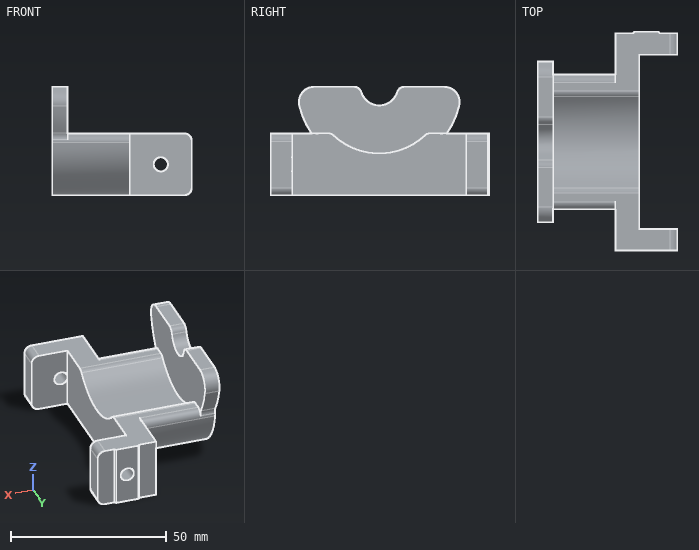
import cadquery as cq
import math

blend_radius = 2.5

bracket_start_x = 25.0
bracket_end_x = 45.0
bracket_width = 70.0
bracket_height = 20.0
wall_thickness = 7.75
arm_thickness = 7.0
hole_diameter = 4.5
hole_x = 35.0

ridge_base_width = 8.6
ridge_top_width = 7.6
ridge_height = 0.5

side_radius = bracket_height
bottom_flat_width = 3.8

plate_top_z = 35.0
plate_thickness = 5.0
seat_radius = 21.5
plate_rim_height = 5.0
plate_corner_radius = 5.0
notch_radius = 6.0

selection_margin = 0.1

wall_end_x = bracket_start_x + wall_thickness
plate_radius = seat_radius + plate_rim_height
half_flat = bottom_flat_width / 2
half_body = half_flat + side_radius
hole_z = bracket_height / 2


def block(x_start, x_end, width, z_start, z_end):
    """Box centred on Y, spanning the given X and Z ranges."""
    return cq.Workplane("XY").box(
        x_end - x_start, width, z_end - z_start, centered=(False, True, False)
    ).translate((x_start, 0, z_start))


def axis_cylinder(radius, x_start, x_end):
    """Cylinder along X on the common seat axis."""
    profile = cq.Workplane("YZ", origin=(x_start, 0, plate_top_z)).circle(radius)
    return profile.extrude(x_end - x_start)


def edge_zone(x_end, half_width, top_z, depth=0):
    """Selector for edges centred between X=0 and x_end, near the given width and height."""
    return cq.selectors.BoxSelector(
        (0, -half_width - selection_margin, top_z - depth - selection_margin),
        (x_end, half_width + selection_margin, top_z + selection_margin),
    )


def make_body():
    """Flat-topped body whose sides sweep down to a narrow flat, with rounded top edges."""
    mid = side_radius * math.sin(math.pi / 4)
    arc_mid_y = half_flat + mid
    arc_mid_z = bracket_height - mid
    body = (
        cq.Workplane("YZ")
        .moveTo(-half_body, bracket_height)
        .threePointArc((-arc_mid_y, arc_mid_z), (-half_flat, 0))
        .lineTo(half_flat, 0)
        .threePointArc((arc_mid_y, arc_mid_z), (half_body, bracket_height))
        .close()
        .extrude(wall_end_x)
    )
    return body.edges("|X and >Z").fillet(blend_radius)


def make_bracket():
    """Cross wall and two arms, rounded at their free ends."""
    bracket = block(bracket_start_x, bracket_end_x, bracket_width, 0, bracket_height)
    bracket = bracket.edges("|Y and >X").fillet(blend_radius)
    gap_width = bracket_width - 2 * arm_thickness
    return bracket.cut(block(wall_end_x, bracket_end_x, gap_width, 0, bracket_height))


def make_ridge():
    """Low trapezoidal ridge over the full height of the +Y arm."""
    arm_face_y = bracket_width / 2
    ridge_face_y = arm_face_y + ridge_height
    return (
        cq.Workplane("XY")
        .moveTo(hole_x - ridge_base_width / 2, arm_face_y)
        .lineTo(hole_x - ridge_top_width / 2, ridge_face_y)
        .lineTo(hole_x + ridge_top_width / 2, ridge_face_y)
        .lineTo(hole_x + ridge_base_width / 2, arm_face_y)
        .close()
        .extrude(bracket_height)
    )


def make_hole():
    """Cross hole along Y through both arms."""
    length = bracket_width + 2 * ridge_height
    hole = cq.Workplane("XZ", origin=(hole_x, length / 2, hole_z))
    return hole.circle(hole_diameter / 2).extrude(length)


def cut_seat(solid):
    """Cut the concave seat behind the plate and round its two long rims."""
    seat = axis_cylinder(seat_radius, plate_thickness, wall_end_x)
    solid = solid.cut(seat)
    seat_half_width = math.sqrt(seat_radius**2 - (plate_top_z - bracket_height) ** 2)
    rims = edge_zone(wall_end_x, seat_half_width, bracket_height)
    return solid.edges("|X").edges(rims).fillet(blend_radius)


def make_plate(body):
    """End plate: body outline below, round-sided head above, notched at the top."""
    head = axis_cylinder(plate_radius, 0, plate_thickness)
    head_zone = block(0, plate_thickness, 2 * plate_radius, hole_z, plate_top_z)
    head = head.intersect(head_zone)
    head = head.edges("|X and >Z").fillet(plate_corner_radius)

    lower = body.intersect(block(0, plate_thickness, 2 * half_body, 0, bracket_height))
    plate = head.union(lower)
    neck = edge_zone(plate_thickness, half_body, bracket_height, blend_radius)
    plate = plate.edges("|X").edges(neck).fillet(blend_radius)

    plate = plate.cut(axis_cylinder(notch_radius, 0, plate_thickness))
    notch_rims = edge_zone(plate_thickness, notch_radius, plate_top_z)
    return plate.edges("|X").edges(notch_rims).fillet(blend_radius)


body = make_body()
cradle = cut_seat(body.union(make_bracket()))
result = cradle.union(make_plate(body)).union(make_ridge()).cut(make_hole())